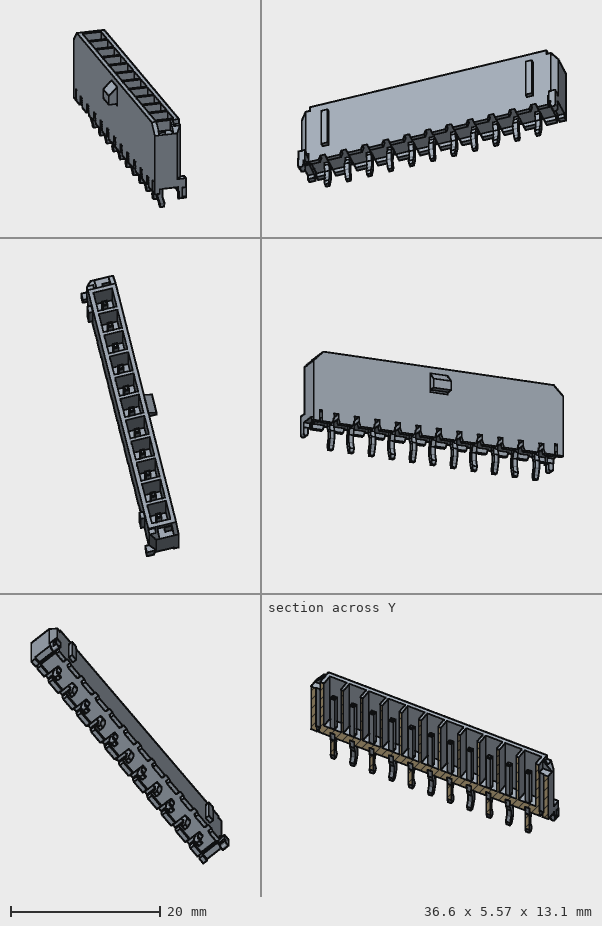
import cadquery as cq


overall_length = 36.65
peg_shim = 0.07
length = overall_length - peg_shim
depth = 3.85
height = 9.9
left = -overall_length / 2
right = left + length
front = -depth / 2
back = depth / 2
end_slope = 1.43
shoulder_z = height - end_slope
rear_standoff = 0.55

pin_count = 11
row_length = 30.0
pitch = row_length / (pin_count - 1)
cell_size = 2.55
cell_floor_z = 2.25
pin_width = 0.65
pin_y = 0.05
pin_top_z = 7.7
pin_point = 0.15
bend_start_z = 0.22
bow_top_z = -0.65
bow_bottom_z = -1.72
bend_end_z = -2.65
tail_tip_z = -3.2
tail_bow = 0.3
tail_tip_width = 0.5

channel_z = 0.65
front_wall = 0.65
back_wall = 0.55
notch_top_z = 1.32
notch_mouth_width = 1.1

arm_width = 0.9
slot_width = 0.33
slot_top_z = 1.55
foot_top_z = 1.85
peg_width = 0.65
peg_depth = 1.0
peg_tip_z = -1.1
shim_top_z = 0.55
corner_chamfer_x = 0.85
corner_chamfer_y = 0.75
rear_step = 0.65
rear_step_depth = 0.88
pocket_front_wall = 0.65
pocket_back_wall = 1.2
well_inset = 0.07
well_length = 0.6
well_width = 1.03

rib_width = 0.88
rib_x = 14.55
rib_bottom_z = 2.25
rib_top_z = 8.2

latch_width = 2.55
latch_reach = 1.17
latch_top_z = height - 0.88
latch_edge_z = height - 2.0
latch_bottom_z = height - 3.3
latch_root_height = 0.25
latch_root_reach = 0.2

pin_positions = [(i - (pin_count - 1) / 2) * pitch for i in range(pin_count)]


def box(x0, x1, y0, y1, z0, z1):
    """Axis-aligned block between the given limits."""
    return cq.Workplane("XY").box(x1 - x0, y1 - y0, z1 - z0, centered=False).translate((x0, y0, z0))


def extrude_along_y(points, y0, y1):
    """Closed XZ outline extruded from y0 to y1."""
    return cq.Workplane("XZ", origin=(0, y0, 0)).polyline(points).close().extrude(y0 - y1)


def extrude_along_x(points, x0, x1):
    """Closed YZ outline extruded from x0 to x1."""
    return cq.Workplane("YZ", origin=(x0, 0, 0)).polyline(points).close().extrude(x1 - x0)


def housing_block():
    outline = [
        (left, 0),
        (right, 0),
        (right, shoulder_z),
        (right - end_slope, height),
        (left + end_slope, height),
        (left, shoulder_z),
    ]
    block = extrude_along_y(outline, front, back)
    return block.cut(box(left, right, front + front_wall, back - back_wall, 0, channel_z))


def end_span(side, inner, outer):
    """X limits of a band lying between two distances in from the left or right end."""
    if side < 0:
        return left + outer, left + inner
    return right - inner, right - outer


def end_cuts(side):
    """Pocket, well, ledge, corner chamfer and arm slot at one end."""
    pocket_x = end_span(side, end_slope, 0)
    pocket_y = (front + pocket_front_wall, back - pocket_back_wall)
    pocket = box(*pocket_x, *pocket_y, shoulder_z, height)

    well_x = end_span(side, end_slope - well_inset, end_slope - well_inset - well_length)
    well = box(*well_x, pocket_y[0], pocket_y[0] + well_width, slot_top_z, shoulder_z)

    ledge = box(*pocket_x, back - rear_step_depth, back, height - rear_step, height)

    slot_x = end_span(side, arm_width + slot_width, arm_width)
    slot = box(*slot_x, front, back, 0, slot_top_z)

    end_x = left if side < 0 else right
    corner = (
        cq.Workplane("XY", origin=(0, 0, foot_top_z))
        .polyline([(end_x, back), (end_x - side * corner_chamfer_x, back), (end_x, back - corner_chamfer_y)])
        .close()
        .extrude(height - foot_top_z)
    )
    return pocket.union(well).union(ledge).union(slot).union(corner)


def foot(side):
    """Rear block of an end arm with the round-tipped locating peg under it."""
    rear = back + rear_standoff
    block = box(*end_span(side, arm_width, 0), back - back_wall, rear, 0, foot_top_z)
    peg_x = end_span(side, peg_width, 0)
    radius = peg_width / 2
    peg = (
        cq.Workplane("XZ", origin=(0, rear, 0))
        .moveTo(peg_x[0], channel_z)
        .lineTo(peg_x[0], peg_tip_z + radius)
        .threePointArc((peg_x[0] + radius, peg_tip_z), (peg_x[1], peg_tip_z + radius))
        .lineTo(peg_x[1], channel_z)
        .close()
        .extrude(peg_depth)
    )
    return block.union(peg)


def latch():
    outline = [
        (front, latch_top_z),
        (front - latch_reach, latch_edge_z),
        (front - latch_reach, latch_bottom_z),
        (front - latch_root_reach, latch_bottom_z),
        (front, latch_bottom_z - latch_root_height),
    ]
    return extrude_along_x(outline, -latch_width / 2, latch_width / 2)


def notch(x):
    """Recess reaching in to a pin, with a flared mouth that runs through both walls."""
    half = pin_width / 2
    half_mouth = notch_mouth_width / 2
    recess = box(x - half, x + half, front, pin_y, channel_z, notch_top_z)
    mouth_outline = [
        (x - half_mouth, 0),
        (x - half, channel_z),
        (x + half, channel_z),
        (x + half_mouth, 0),
    ]
    return recess.union(extrude_along_y(mouth_outline, front, back))


def pin(x, bow):
    """Square contact whose tail bows by the given amount in Y."""
    y0 = pin_y - pin_width / 2
    y1 = pin_y + pin_width / 2
    shaft = box(x - pin_width / 2, x + pin_width / 2, y0, y1, bend_start_z, pin_top_z)
    shaft = shaft.faces(">Z").chamfer(pin_point)
    tail_outline = [
        (y0, bend_start_z),
        (y0 + bow, bow_top_z),
        (y0 + bow, bow_bottom_z),
        (y0, bend_end_z),
        (y1, bend_end_z),
        (y1 + bow, bow_bottom_z),
        (y1 + bow, bow_top_z),
        (y1, bend_start_z),
    ]
    tail = extrude_along_x(tail_outline, x - pin_width / 2, x + pin_width / 2)
    tip = (
        cq.Workplane("XY", origin=(x, pin_y, bend_end_z))
        .rect(pin_width, pin_width)
        .workplane(offset=tail_tip_z - bend_end_z)
        .rect(tail_tip_width, tail_tip_width)
        .loft(ruled=True)
    )
    return shaft.union(tail).union(tip)


body = housing_block()

for end in (-1, 1):
    body = body.cut(end_cuts(end)).union(foot(end))
    rib_left = end * rib_x - rib_width / 2
    body = body.union(box(rib_left, rib_left + rib_width, back, back + rear_standoff, rib_bottom_z, rib_top_z))

shim = box(right, right + peg_shim, back, back + rear_standoff, peg_tip_z + peg_width / 2, shim_top_z)
body = body.union(shim).union(latch())

half_cell = cell_size / 2
for index, pin_x in enumerate(pin_positions):
    cell = box(pin_x - half_cell, pin_x + half_cell, -half_cell, half_cell, cell_floor_z, height)
    bow = -tail_bow if index % 2 == 0 else tail_bow
    body = body.cut(cell).cut(notch(pin_x)).union(pin(pin_x, bow))

result = body